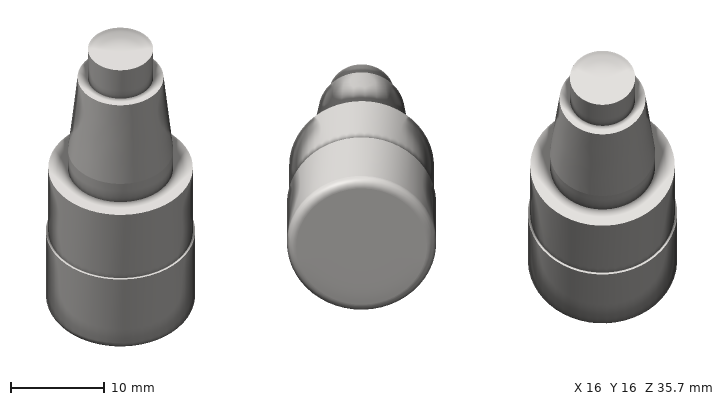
import cadquery as cq

base_top = 10.0
sleeve_top = 18.92
collar_top = 21.5
cone_top = 31.7
overall_height = 35.7

base_diameter = 16.0
sleeve_diameter = 15.5
collar_diameter = 11.28
cone_top_diameter = 9.2
cable_diameter = 7.0

bottom_edge_radius = 1.0


def cylinder(diameter, bottom, top):
    """Upright cylinder on the Z axis between two heights."""
    return cq.Workplane("XY").workplane(offset=bottom).circle(diameter / 2).extrude(top - bottom)


def make_housing():
    """Stepped round housing with a rounded bottom edge."""
    base = cylinder(base_diameter, 0, base_top).faces("<Z").edges().fillet(bottom_edge_radius)
    sleeve = cylinder(sleeve_diameter, base_top, sleeve_top)
    return base.union(sleeve)


def make_boot():
    """Collar, tapered boot and cable stub, standing on the housing."""
    collar = cylinder(collar_diameter, sleeve_top, collar_top)
    cone = cq.Workplane(
        cq.Solid.makeCone(
            collar_diameter / 2,
            cone_top_diameter / 2,
            cone_top - collar_top,
            pnt=cq.Vector(0, 0, collar_top),
        )
    )
    cable = cylinder(cable_diameter, cone_top, overall_height)
    return collar.union(cone).union(cable)


housing = make_housing()
boot = make_boot()

result = cq.Compound.makeCompound([housing.val(), boot.val()])